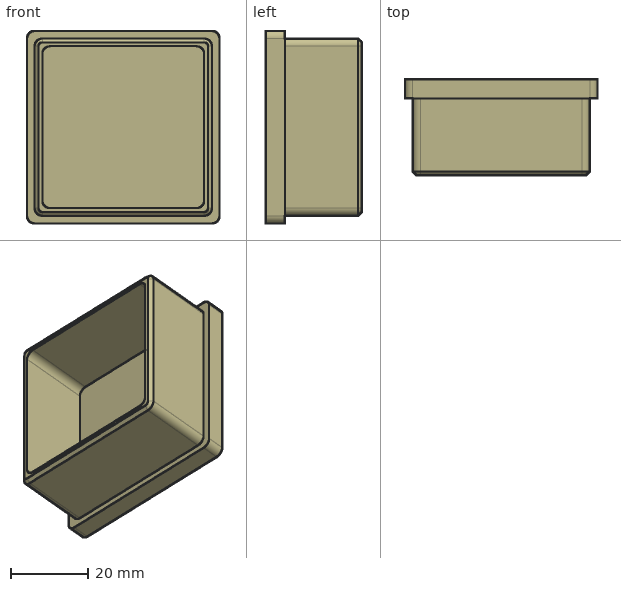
import cadquery as cq

flange_side = 50.0
flange_thickness = 5.0
flange_step = 2.0
plug_length = 20.0
wall_thickness = 2.0
pocket_depth = plug_length
lead_in_chamfer = 1.0
outer_corner_radius = 2.0
pocket_corner_radius = 2.0

plug_side = flange_side - 2 * flange_step
pocket_side = plug_side - 2 * wall_thickness


def rounded_square_bar(side, length, corner_radius, start_y):
    """Square bar along Y, from start_y toward -Y, with its long edges rounded."""
    return (
        cq.Workplane("XZ", origin=(0, start_y, 0))
        .rect(side, side)
        .extrude(length)
        .edges("|Y")
        .fillet(corner_radius)
    )


def make_flange():
    return rounded_square_bar(flange_side, flange_thickness, outer_corner_radius, flange_thickness)


def make_plug():
    """Plug from the flange face at Y = 0, chamfered around its free end."""
    plug = rounded_square_bar(plug_side, plug_length, outer_corner_radius, 0)
    return plug.faces("<Y").edges().chamfer(lead_in_chamfer)


def make_pocket():
    """Blind cavity entering from the free end of the plug."""
    floor_y = pocket_depth - plug_length
    return rounded_square_bar(pocket_side, pocket_depth, pocket_corner_radius, floor_y)


result = make_flange().union(make_plug()).cut(make_pocket())